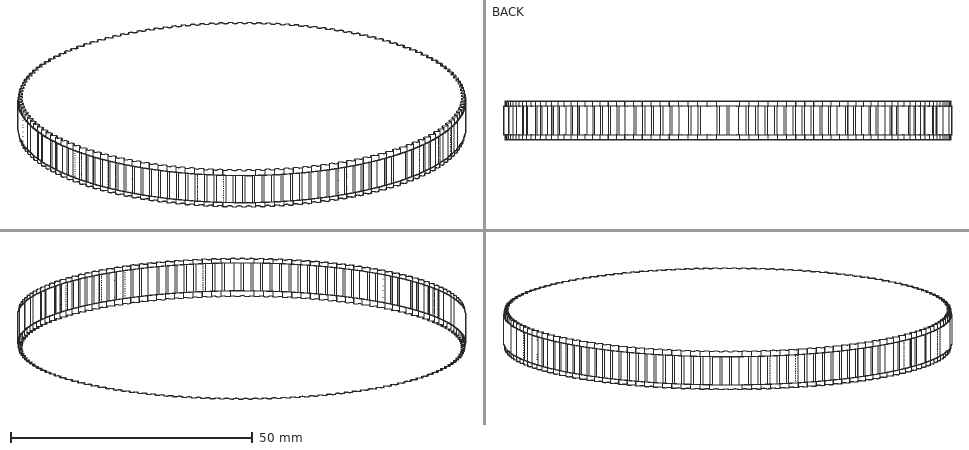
import cadquery as cq
import math

outer_diameter = 92.95
height = 8.0

band_margin = 1.0
band_thickness = 0.25
band_height = height - 2 * band_margin
band_radius = outer_diameter / 2
tip_radius = band_radius - band_thickness

groove_count = 146
bottom_radius = 0.57
shoulder_radius = 0.2


def polar_frame(angle):
    """Return a function placing points by distance along and offset across a radial axis."""

    def place(distance, offset):
        return (
            distance * math.cos(angle) - offset * math.sin(angle),
            distance * math.sin(angle) + offset * math.cos(angle),
        )

    return place


def toothed_profile():
    """Closed outline of the disc: circular tooth tips separated by rounded grooves."""
    pitch_angle = 2 * math.pi / groove_count

    mouth_offset = bottom_radius + shoulder_radius
    mouth = math.sqrt(tip_radius**2 - mouth_offset**2)
    shoulder_end = mouth - shoulder_radius
    bottom = shoulder_end - bottom_radius
    shoulder_bulge = shoulder_radius * math.sqrt(0.5)
    shoulder_middle = shoulder_end + shoulder_bulge
    shoulder_middle_offset = mouth_offset - shoulder_bulge

    outline = cq.Workplane("XY").moveTo(*polar_frame(0)(mouth, -mouth_offset))
    for index in range(groove_count):
        angle = index * pitch_angle
        groove = polar_frame(angle)
        tooth = polar_frame(angle + pitch_angle / 2)
        next_groove = polar_frame(angle + pitch_angle)
        outline = (
            outline
            .threePointArc(
                groove(shoulder_middle, -shoulder_middle_offset),
                groove(shoulder_end, -bottom_radius),
            )
            .threePointArc(groove(bottom, 0), groove(shoulder_end, bottom_radius))
            .threePointArc(
                groove(shoulder_middle, shoulder_middle_offset),
                groove(mouth, mouth_offset),
            )
            .threePointArc(tooth(tip_radius, 0), next_groove(mouth, -mouth_offset))
        )
    return outline.close()


def closing_band():
    """Thin ring around the tooth tips, centred on the height of the disc."""
    return (
        cq.Workplane("XY")
        .workplane(offset=band_margin)
        .circle(band_radius)
        .circle(tip_radius)
        .extrude(band_height)
    )


toothed_disc = toothed_profile().extrude(height)
result = toothed_disc.union(closing_band())